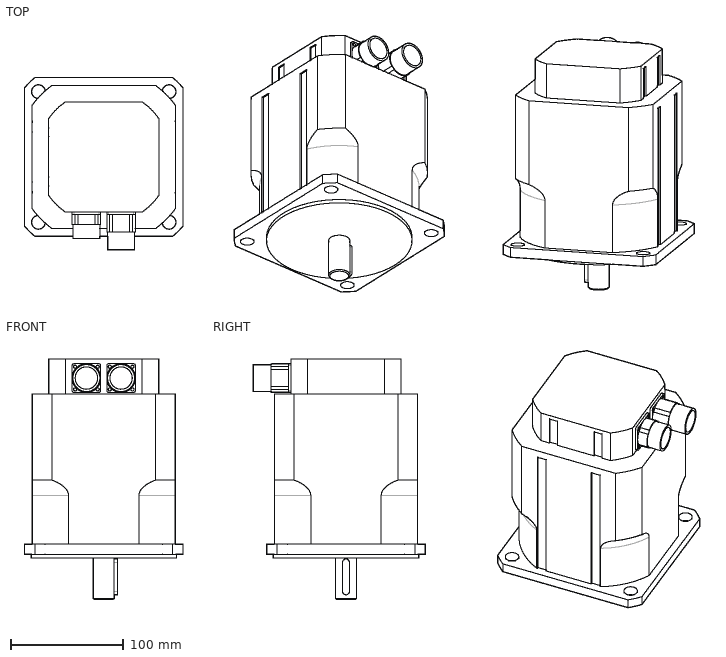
import cadquery as cq
import math


SHAFT_LENGTH = 37.0
PILOT_BASE = SHAFT_LENGTH
FLANGE_BASE = 40.5
FLANGE_TOP = 49.5
RELIEF_TOP = 93.0
HOUSING_TOP = 183.6
CAP_TOP = 215.0

FLANGE_SIDE = 142.0
FLANGE_CORNER_DIAMETER = 188.0
HOUSING_SIDE = 128.0
HOUSING_CORNER_DIAMETER = 157.8
CAP_SIDE = 98.5
CAP_CORNER_DIAMETER = 120.0

PILOT_DIAMETER = 130.0
BOLT_HOLE_DIAMETER = 12.0
BOLT_CIRCLE_DIAMETER = 165.0

RELIEF_DIAMETER = 142.5
RELIEF_RADIUS = 16.0

GROOVE_DEPTH = 1.3
HOUSING_GROOVE_WIDTH = 8.5
HOUSING_GROOVE_OFFSET = 26.5
HOUSING_GROOVE_TOP = 176.3
CAP_GROOVE_WIDTH = 7.7
CAP_GROOVE_OFFSET = 22.0
CAP_GROOVE_TOP = 211.0

SHAFT_DIAMETER = 19.0
SHAFT_CHAMFER = 1.0
KEY_WIDTH = 6.0
KEY_LENGTH = 32.0
KEY_GAP = 0.6
KEY_REACH = 12.5
KEY_HEIGHT = 6.0

CONNECTOR_SPACING = 31.0
CONNECTOR_HEIGHT = 197.8
SHORT_COLLAR_END = 11.2
SHORT_LENGTH = 23.6
LONG_COLLAR_END = 17.6
LONG_LENGTH = 33.8
PLATE_SIDE = 25.5
PLATE_THICKNESS = 2.2
PLATE_CORNER_RADIUS = 1.7
SCREW_HOLE_DIAMETER = 2.8
SCREW_HOLE_SPACING = 20.2
COLLAR_DIAMETER = PLATE_SIDE
SCREW_FLUTE_DIAMETER = 6.9
SCREW_FLUTE_SPACING = 22.0
TUBE_DIAMETER = 24.0
TUBE_BORE_DIAMETER = 20.0


def trimmed_square(side, corner_diameter, base, top):
    """Square block whose corners are turned down to a cylinder."""
    height = top - base
    block = cq.Workplane("XY", origin=(0, 0, base)).rect(side, side).extrude(height)
    cylinder = cq.Workplane("XY", origin=(0, 0, base)).circle(corner_diameter / 2).extrude(height)
    return block.intersect(cylinder)


def make_flange():
    flange = trimmed_square(FLANGE_SIDE, FLANGE_CORNER_DIAMETER, FLANGE_BASE, FLANGE_TOP)
    pilot = (
        cq.Workplane("XY", origin=(0, 0, PILOT_BASE))
        .circle(PILOT_DIAMETER / 2)
        .extrude(FLANGE_BASE - PILOT_BASE)
    )
    hole_spacing = BOLT_CIRCLE_DIAMETER / math.sqrt(2)
    bolt_holes = (
        cq.Workplane("XY", origin=(0, 0, FLANGE_BASE))
        .rect(hole_spacing, hole_spacing, forConstruction=True)
        .vertices()
        .circle(BOLT_HOLE_DIAMETER / 2)
        .extrude(FLANGE_TOP - FLANGE_BASE)
    )
    return flange.cut(bolt_holes).union(pilot)


def make_corner_relief():
    """Ring outside the relief cylinder, running out along a concave arc into the corners."""
    inner = RELIEF_DIAMETER / 2
    outer = HOUSING_CORNER_DIAMETER / 2
    arc_center = inner + RELIEF_RADIUS

    def arc_height(radius):
        return RELIEF_TOP + math.sqrt(RELIEF_RADIUS**2 - (arc_center - radius) ** 2)

    middle = (inner + outer) / 2
    return (
        cq.Workplane("XZ")
        .moveTo(inner, FLANGE_TOP)
        .lineTo(inner, RELIEF_TOP)
        .threePointArc((middle, arc_height(middle)), (outer, arc_height(outer)))
        .lineTo(outer, FLANGE_TOP)
        .close()
        .revolve(360, (0, 0, 0), (0, 1, 0))
    )


def make_side_grooves(side, width, offset, base, top):
    """Two upright grooves in the -X side of a square section."""
    return (
        cq.Workplane("YZ", origin=(-side / 2, 0, (base + top) / 2))
        .pushPoints([(-offset, 0), (offset, 0)])
        .rect(width, top - base)
        .extrude(GROOVE_DEPTH)
    )


def make_housing():
    housing = trimmed_square(HOUSING_SIDE, HOUSING_CORNER_DIAMETER, FLANGE_TOP, HOUSING_TOP)
    grooves = make_side_grooves(
        HOUSING_SIDE, HOUSING_GROOVE_WIDTH, HOUSING_GROOVE_OFFSET, FLANGE_TOP, HOUSING_GROOVE_TOP
    )
    return housing.cut(make_corner_relief()).cut(grooves)


def make_cap():
    cap = trimmed_square(CAP_SIDE, CAP_CORNER_DIAMETER, HOUSING_TOP, CAP_TOP)
    grooves = make_side_grooves(
        CAP_SIDE, CAP_GROOVE_WIDTH, CAP_GROOVE_OFFSET, HOUSING_TOP, CAP_GROOVE_TOP
    )
    return cap.cut(grooves)


def make_shaft():
    """Shaft with a round-ended key on its +X side, just short of the pilot."""
    shaft = (
        cq.Workplane("XY")
        .circle(SHAFT_DIAMETER / 2)
        .extrude(SHAFT_LENGTH)
        .faces("<Z")
        .chamfer(SHAFT_CHAMFER)
    )
    key_middle = SHAFT_LENGTH - KEY_GAP - KEY_LENGTH / 2
    key = (
        cq.Workplane("YZ", origin=(KEY_REACH - KEY_HEIGHT, 0, key_middle))
        .slot2D(KEY_LENGTH, KEY_WIDTH, 90)
        .extrude(KEY_HEIGHT)
    )
    return shaft.union(key)


def make_motor():
    return make_flange().union(make_housing()).union(make_cap()).union(make_shaft())


def make_connector(x, collar_end, length):
    """Hollow round connector with a square screw plate, pointing along -Y."""
    base = cq.Workplane("XZ", origin=(x, -CAP_SIDE / 2, CONNECTOR_HEIGHT))
    front = base.workplane(offset=PLATE_THICKNESS)
    collar_length = collar_end - PLATE_THICKNESS
    tube_length = length - PLATE_THICKNESS

    plate = (
        base.rect(PLATE_SIDE, PLATE_SIDE)
        .extrude(PLATE_THICKNESS)
        .edges("|Y")
        .fillet(PLATE_CORNER_RADIUS)
    )
    screws = base.rect(SCREW_HOLE_SPACING, SCREW_HOLE_SPACING, forConstruction=True).vertices()
    screw_holes = screws.circle(SCREW_HOLE_DIAMETER / 2).extrude(PLATE_THICKNESS)
    flute_axes = front.rect(SCREW_FLUTE_SPACING, SCREW_FLUTE_SPACING, forConstruction=True).vertices()
    flutes = flute_axes.circle(SCREW_FLUTE_DIAMETER / 2).extrude(collar_length)

    collar = front.circle(COLLAR_DIAMETER / 2).extrude(collar_length).cut(flutes)
    tube = front.circle(TUBE_DIAMETER / 2).extrude(tube_length)
    bore = front.circle(TUBE_BORE_DIAMETER / 2).extrude(tube_length)
    return plate.cut(screw_holes).union(collar).union(tube).cut(bore)


motor = make_motor()

connectors = []
for x, collar_end, length in (
    (-CONNECTOR_SPACING / 2, SHORT_COLLAR_END, SHORT_LENGTH),
    (CONNECTOR_SPACING / 2, LONG_COLLAR_END, LONG_LENGTH),
):
    connectors.append(make_connector(x, collar_end, length).val())

result = cq.Compound.makeCompound([motor.val(), *connectors])